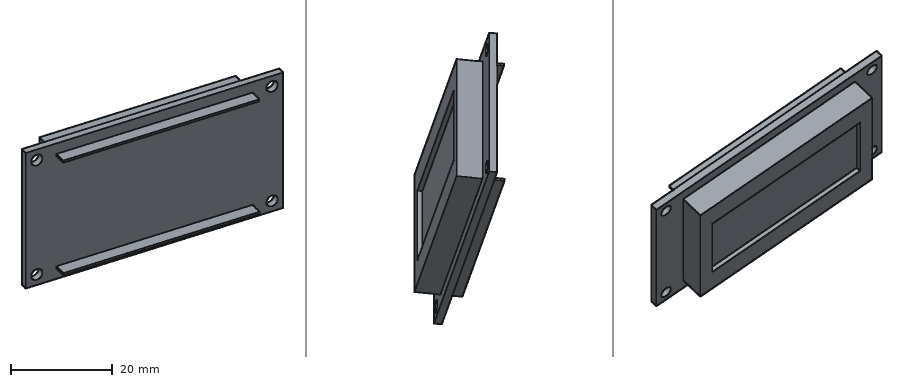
import cadquery as cq

board_thickness = 1.6
board_length = 58.0
board_height = 32.0

hole_diameter = 2.5
hole_edge_distance = 2.5

housing_depth = 5.2
housing_length = 44.2
housing_height = 27.0

window_length = 38.0
window_height = 16.0
window_depth = 1.0

total_depth = 9.6
strip_thickness = 0.5
strip_length = housing_length
lower_strip_projection = total_depth - housing_depth - board_thickness
upper_strip_shortfall = 0.1
upper_strip_projection = lower_strip_projection - upper_strip_shortfall

housing_front_x = -housing_depth
board_back_x = board_thickness


def block(start_x, depth, length, height, center_z=0.0):
    """Box that starts at start_x and runs in +X, centred on Y."""
    return (
        cq.Workplane("XY")
        .box(depth, length, height, centered=(False, True, True))
        .translate((start_x, 0, center_z))
    )


def drilled_board():
    hole_spacing_y = board_length - 2 * hole_edge_distance
    hole_spacing_z = board_height - 2 * hole_edge_distance
    return (
        block(0, board_thickness, board_length, board_height)
        .faces(">X")
        .workplane(centerOption="CenterOfBoundBox")
        .rarray(hole_spacing_y, hole_spacing_z, 2, 2)
        .hole(hole_diameter)
    )


def windowed_housing():
    housing = block(housing_front_x, housing_depth, housing_length, housing_height)
    window = block(housing_front_x, window_depth, window_length, window_height)
    return housing.cut(window)


def back_strip(side, projection):
    """Strip at the upper (side = 1) or lower (side = -1) edge."""
    center_z = side * (housing_height - strip_thickness) / 2
    return block(board_back_x, projection, strip_length, strip_thickness, center_z)


result = (
    drilled_board()
    .union(windowed_housing())
    .union(back_strip(1, upper_strip_projection))
    .union(back_strip(-1, lower_strip_projection))
)